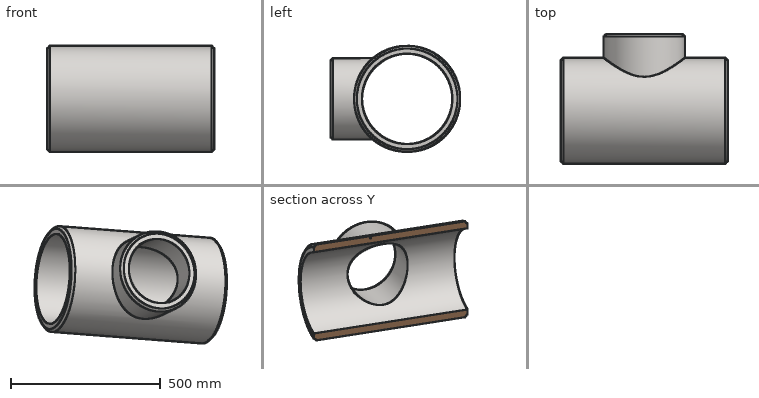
import cadquery as cq

run_length = 559.0
run_diameter = 355.5
run_bore = 301.0

branch_reach = 257.0
branch_diameter = 273.0
branch_bore = 218.0

bevel = 9.5


def run_cylinder(diameter):
    return cq.Workplane("YZ").circle(diameter / 2).extrude(run_length / 2, both=True)


def branch_cylinder(diameter):
    return cq.Workplane("XZ").circle(diameter / 2).extrude(-branch_reach)


run_body = run_cylinder(run_diameter).faces("<X or >X").edges().chamfer(bevel)
branch_body = branch_cylinder(branch_diameter).faces(">Y").edges().chamfer(bevel)

result = (
    run_body.union(branch_body)
    .cut(run_cylinder(run_bore))
    .cut(branch_cylinder(branch_bore))
)